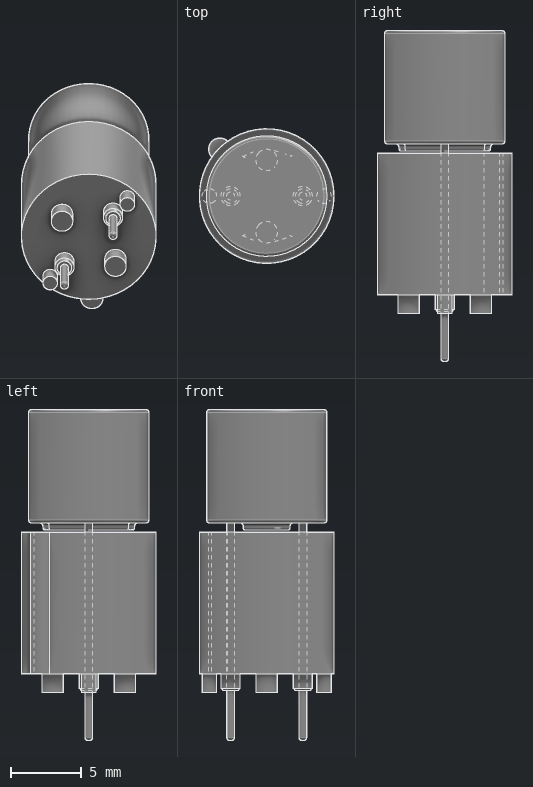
import cadquery as cq
import math


SPACER_DIAMETER = 9.5
SPACER_HEIGHT = 9.99

FOOT_LENGTH = 1.33
SMALL_FOOT_DIAMETER = 1.03
SMALL_FOOT_OFFSET = 4.04
LARGE_FOOT_DIAMETER = 1.52
LARGE_FOOT_OFFSET = 2.55

LEAD_PITCH = 5.09
LEAD_DIAMETER = 0.55
LEAD_BELOW_SPACER = 4.71
LEAD_TIP_FILLET = 0.23
BUSHING_DIAMETER = 1.35
BUSHING_LENGTH = 1.2
BUSHING_CHAMFER = 0.16

CAN_DIAMETER = 8.5
CAN_HEIGHT = 8.0
CAN_FILLET = 0.2
CAN_GAP = 0.63
CAN_BOTTOM = SPACER_HEIGHT + CAN_GAP

SEAL_DIAMETER = 6.49
SEAL_WIDTH = 3.31
SEAL_HEIGHT = 0.5
SEAL_TOP_FILLET = 0.2
SEAL_BOTTOM_FILLET = 0.15
SEAL_BOTTOM = CAN_BOTTOM - SEAL_HEIGHT

RIB_DIAMETER = 1.59
RIB_RADIUS_FROM_AXIS = 4.67
RIB_ANGLE = math.radians(135)

LEAD_POINTS = [(-LEAD_PITCH / 2, 0), (LEAD_PITCH / 2, 0)]


def cylinders(points, diameter, bottom, top):
    """Upright cylinders at the given XY points, from bottom to top."""
    sketch = cq.Workplane("XY", origin=(0, 0, bottom)).pushPoints(points)
    return sketch.circle(diameter / 2).extrude(top - bottom)


def drum():
    """The plain outside cylinder of the spacer."""
    return cylinders([(0, 0)], SPACER_DIAMETER, 0, SPACER_HEIGHT)


def make_spacer():
    """Drum with four feet and two bushings, drilled through for the leads."""
    small_feet = [(-SMALL_FOOT_OFFSET, 0), (SMALL_FOOT_OFFSET, 0)]
    large_feet = [(0, -LARGE_FOOT_OFFSET), (0, LARGE_FOOT_OFFSET)]
    bushings = cylinders(LEAD_POINTS, BUSHING_DIAMETER, -BUSHING_LENGTH, 0)
    bushings = bushings.faces("<Z").edges().chamfer(BUSHING_CHAMFER)
    body = (
        drum()
        .union(cylinders(small_feet, SMALL_FOOT_DIAMETER, -FOOT_LENGTH, 0))
        .union(cylinders(large_feet, LARGE_FOOT_DIAMETER, -FOOT_LENGTH, 0))
        .union(bushings)
    )
    return body.cut(cylinders(LEAD_POINTS, LEAD_DIAMETER, -BUSHING_LENGTH, SPACER_HEIGHT))


def make_rib():
    """Round rib seated against the drum, as tall as the drum."""
    center = (
        RIB_RADIUS_FROM_AXIS * math.cos(RIB_ANGLE),
        RIB_RADIUS_FROM_AXIS * math.sin(RIB_ANGLE),
    )
    return cylinders([center], RIB_DIAMETER, 0, SPACER_HEIGHT).cut(drum())


def make_seal():
    """Flat-sided seal strip reaching from its rounded lower edge up to the can."""
    disc = cylinders([(0, 0)], SEAL_DIAMETER, SEAL_BOTTOM, CAN_BOTTOM)
    strip = cq.Workplane("XY").box(SEAL_WIDTH, SEAL_DIAMETER, 2 * CAN_BOTTOM)
    return disc.intersect(strip).faces("<Z").edges().fillet(SEAL_BOTTOM_FILLET)


def make_capacitor():
    """Can with rounded rims, seal strip blended into its underside, and two leads."""
    can = cylinders([(0, 0)], CAN_DIAMETER, CAN_BOTTOM, CAN_BOTTOM + CAN_HEIGHT)
    can = can.edges("%CIRCLE").fillet(CAN_FILLET)
    joint_half_size = SEAL_DIAMETER / 2 + SEAL_TOP_FILLET
    joint = cq.selectors.BoxSelector(
        (-joint_half_size, -joint_half_size, CAN_BOTTOM - SEAL_BOTTOM_FILLET / 2),
        (joint_half_size, joint_half_size, CAN_BOTTOM + SEAL_BOTTOM_FILLET / 2),
        boundingbox=True,
    )
    body = can.union(make_seal()).edges(joint).fillet(SEAL_TOP_FILLET)
    leads = cylinders(LEAD_POINTS, LEAD_DIAMETER, -LEAD_BELOW_SPACER, CAN_BOTTOM)
    leads = leads.faces("<Z").edges().fillet(LEAD_TIP_FILLET)
    return body.union(leads)


spacer = make_spacer()
rib = make_rib()
capacitor = make_capacitor()

result = cq.Compound.makeCompound([spacer.val(), rib.val(), capacitor.val()])